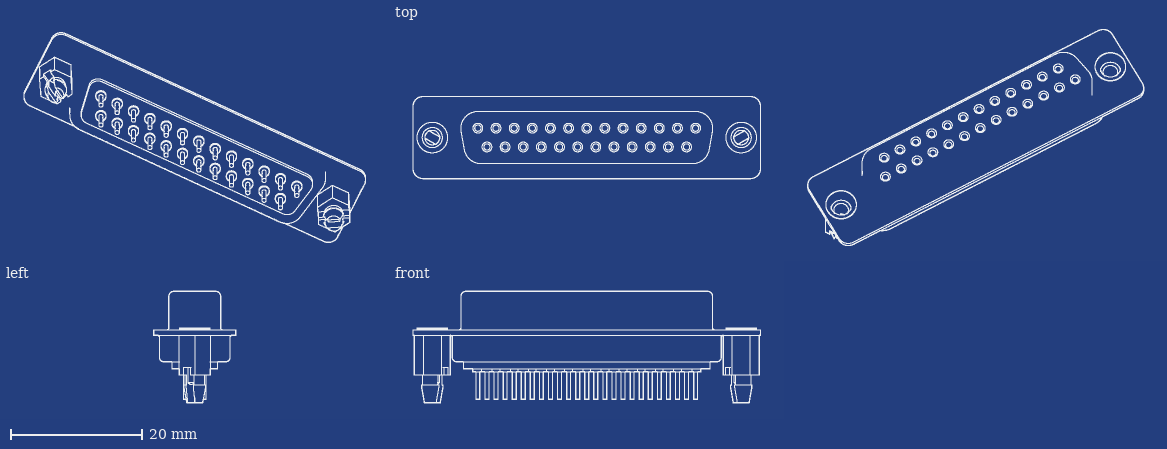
import cadquery as cq
import math


flange_length = 53.05
flange_width = 12.55
flange_thickness = 0.85
flange_corner = 1.6

side_slope = 10.0
root_fillet = 0.25
shell_half_x, shell_half_y, shell_corner = 19.2, 4.0, 2.6
shell_top = 5.9
shell_fillet = 0.8
rear_half_x, rear_half_y, rear_corner = 20.5, 5.4, 2.6
rear_bottom = -4.9
rear_fillet = 0.7
insulator_half_x, insulator_half_y, insulator_corner = 18.85, 3.5, 1.45
insulator_bottom = -5.95

long_row_length = 33.2
long_row_count = 13
contact_pitch = long_row_length / (long_row_count - 1)
row_offset = 1.45
socket_radius = 0.5
socket_mouth_radius = 0.75
socket_depth = 2.65
collar_radius = 0.8
collar_bottom = -6.4
pin_radius = 0.3
pin_bottom = -10.6

lock_offset = 23.55
lip_height = 0.3
lip_rim_height = 0.15
lip_radius = 2.35
lip_root_radius = 2.2
hex_across_flats = 4.8
hex_bottom = -6.9
post_radius = 3.0 / 2
barb_radius = 1.65
barb_top = -8.45
barb_taper_top = -8.75
post_tip_radius = 1.2
post_bottom = -11.15
thread_radius = 1.55
thread_mouth_fillet = 0.6
thread_depth = 1.5
core_radius = 1.1
core_bottom = -8.05
drill_half_angle = 59.0
slot_width = 1.25
slot_top = -5.75
slot_angle = 30.0


def d_profile(half_x, half_y, corner):
    """D outline with equal corner radii, wider on the +Y side."""
    slope = math.radians(side_slope)
    center_y = half_y - corner
    top_x = half_x - corner
    bottom_x = top_x - 2 * center_y * math.tan(slope)
    reach_x = corner * math.cos(slope)
    drop_y = corner * math.sin(slope)

    def arc_middle(center_x, row_y, angle):
        return center_x + corner * math.cos(angle), row_y + corner * math.sin(angle)

    top_middle = arc_middle(top_x, center_y, (math.pi / 2 - slope) / 2)
    bottom_middle = arc_middle(bottom_x, -center_y, -(math.pi / 2 + slope) / 2)
    return (
        cq.Workplane("XY")
        .moveTo(-top_x, half_y)
        .lineTo(top_x, half_y)
        .threePointArc(top_middle, (top_x + reach_x, center_y - drop_y))
        .lineTo(bottom_x + reach_x, -center_y - drop_y)
        .threePointArc(bottom_middle, (bottom_x, -half_y))
        .lineTo(-bottom_x, -half_y)
        .threePointArc((-bottom_middle[0], bottom_middle[1]), (-bottom_x - reach_x, -center_y - drop_y))
        .lineTo(-top_x - reach_x, center_y - drop_y)
        .threePointArc((-top_middle[0], top_middle[1]), (-top_x, half_y))
        .close()
    )


def root_edges(half_x, half_y, z):
    """Selector for the edges where a D body meets the flange at height z."""
    margin = 0.1
    return cq.selectors.BoxSelector(
        (-half_x - margin, -half_y - margin, z - margin),
        (half_x + margin, half_y + margin, z + margin),
    )


def build_shell():
    """Flange with the filleted D shell above it and the wider one below it."""
    flange = (
        cq.Workplane("XY")
        .rect(flange_length, flange_width)
        .extrude(-flange_thickness)
        .edges("|Z")
        .fillet(flange_corner)
    )
    front = d_profile(shell_half_x, shell_half_y, shell_corner).extrude(shell_top)
    front = front.faces(">Z").edges().fillet(shell_fillet)
    rear = d_profile(rear_half_x, rear_half_y, rear_corner).extrude(rear_bottom)
    rear = rear.faces("<Z").edges().fillet(rear_fillet)
    body = flange.union(front).union(rear)

    body = body.edges(root_edges(shell_half_x, shell_half_y, 0)).fillet(root_fillet)
    return body.edges(root_edges(rear_half_x, rear_half_y, -flange_thickness)).fillet(root_fillet)


def contact_positions():
    """Centres of both contact rows."""
    points = []
    for count, y in ((long_row_count, row_offset), (long_row_count - 1, -row_offset)):
        for i in range(count):
            points.append(((i - (count - 1) / 2) * contact_pitch, y))
    return points


def cylinders(points, radius, z_start, z_end):
    """Equal round bars between two heights."""
    plane = cq.Workplane("XY").workplane(offset=z_start)
    return plane.pushPoints(points).circle(radius).extrude(z_end - z_start)


def socket_cutters(points):
    """Blind contact holes with a 45 degree countersink."""
    countersink_depth = socket_mouth_radius - socket_radius
    profile = (
        cq.Workplane("XZ")
        .moveTo(0, shell_top)
        .lineTo(socket_mouth_radius, shell_top)
        .lineTo(socket_radius, shell_top - countersink_depth)
        .lineTo(socket_radius, shell_top - socket_depth)
        .lineTo(0, shell_top - socket_depth)
        .close()
    )
    cutter = profile.revolve(360, (0, 0, 0), (0, 1, 0)).val()
    return cq.Workplane("XY").pushPoints(points).eachpoint(lambda place: cutter.moved(place))


def build_board_lock():
    """Hex standoff on the Z axis with a riveted lip above and a barbed post below."""
    hex_body = (
        cq.Workplane("XY")
        .polygon(6, hex_across_flats / math.cos(math.pi / 6))
        .extrude(hex_bottom)
    )
    turned = (
        cq.Workplane("XZ")
        .moveTo(0, lip_height)
        .lineTo(lip_radius, lip_height)
        .lineTo(lip_radius, lip_height - lip_rim_height)
        .lineTo(lip_root_radius, 0)
        .lineTo(post_radius, 0)
        .lineTo(post_radius, barb_top)
        .lineTo(barb_radius, barb_top)
        .lineTo(barb_radius, barb_taper_top)
        .lineTo(post_tip_radius, post_bottom)
        .lineTo(0, post_bottom)
        .close()
        .revolve(360, (0, 0, 0), (0, 1, 0))
    )
    return hex_body.union(turned)


def lock_bore():
    """Stepped bore with a rounded mouth and conical drill ends."""
    drill_slope = math.tan(math.radians(drill_half_angle))
    step_depth = (thread_radius - core_radius) / drill_slope
    tip_depth = core_radius / drill_slope
    mouth_radius = thread_radius + thread_mouth_fillet
    round_middle = (
        mouth_radius - thread_mouth_fillet * math.sin(math.pi / 4),
        lip_height - thread_mouth_fillet * (1 - math.sin(math.pi / 4)),
    )
    return (
        cq.Workplane("XZ")
        .moveTo(0, lip_height)
        .lineTo(mouth_radius, lip_height)
        .threePointArc(round_middle, (thread_radius, lip_height - thread_mouth_fillet))
        .lineTo(thread_radius, -thread_depth)
        .lineTo(core_radius, -thread_depth - step_depth)
        .lineTo(core_radius, core_bottom)
        .lineTo(0, core_bottom - tip_depth)
        .close()
        .revolve(360, (0, 0, 0), (0, 1, 0))
    )


def lock_slot(angle):
    """Slot that splits the post, square to a pair of hex flats."""
    return (
        cq.Workplane("XY")
        .workplane(offset=post_bottom)
        .rect(2 * hex_across_flats, slot_width)
        .extrude(slot_top - post_bottom)
        .rotate((0, 0, 0), (0, 0, 1), angle)
    )


contacts = contact_positions()
result = build_shell()
insulator = d_profile(insulator_half_x, insulator_half_y, insulator_corner).extrude(insulator_bottom)
result = result.union(insulator)
result = result.union(cylinders(contacts, collar_radius, insulator_bottom, collar_bottom))
result = result.union(cylinders(contacts, pin_radius, insulator_bottom, pin_bottom))
result = result.cut(socket_cutters(contacts))

lock = build_board_lock()
bore = lock_bore()
for side in (-1, 1):
    place = (side * lock_offset, 0, 0)
    split_lock = lock.cut(lock_slot(side * slot_angle))
    result = result.union(split_lock.translate(place)).cut(bore.translate(place))